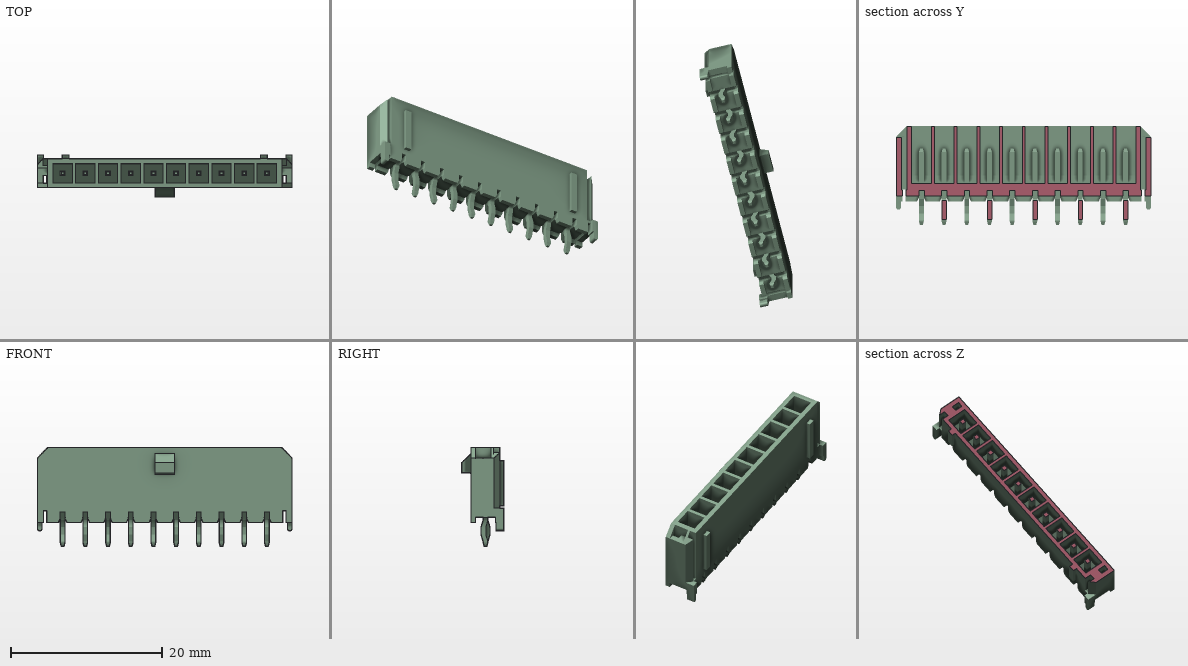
import cadquery as cq


LENGTH = 33.65
OVERALL_DEPTH = 5.57
OVERALL_HEIGHT = 13.08

PIN_COUNT = 10
PITCH = 3.0
DEPTH = 3.84
HEIGHT = 9.93
HALF_LENGTH = LENGTH / 2
FRONT = -DEPTH / 2
BACK = DEPTH / 2
REAR_PROJECTION = 0.505
REAR = BACK + REAR_PROJECTION

CAVITY_WIDTH = 2.55
CAVITY_DEPTH = 2.6
CAVITY_FLOOR = 2.4
LEDGE_DEPTH = 0.1
LEDGE_HEIGHT = 1.0
WALL = (DEPTH - CAVITY_DEPTH) / 2

CHANNEL_HEIGHT = 0.68
SLOT_HEIGHT = 1.4
SLOT_FLARE_HEIGHT = 0.5
SLOT_MOUTH = 1.1

END_LENGTH = 1.36
END_DROP = 1.4
TROUGH_BACK = 0.71
CORNER_X = 0.71
CORNER_Y = 0.8
KEYWAY_DEPTH = 0.89
WELL_INSET = 0.73
WELL_LENGTH = 0.97
RELIEF_INSET = 0.82
RELIEF_WIDTH = 0.40
RELIEF_HEIGHT = 1.54

TAB_WIDTH = RELIEF_INSET
TAB_TOP = 1.9
LEG_WIDTH = 0.61
LEG_DEPTH = 1.06
LEG_BOTTOM = -1.1

RIB_WIDTH = 0.9
RIB_CENTER = 13.1
RIB_BOTTOM = 2.2
RIB_TOP = 8.2

LATCH_WIDTH = 2.55
LATCH_PROJECTION = OVERALL_DEPTH - DEPTH - REAR_PROJECTION
LATCH_TOP = 9.1
LATCH_SHOULDER = 7.92
LATCH_BOTTOM = 6.57
LATCH_ROOT_DROP = 0.2
LATCH_ROOT_DEPTH = 0.08

PIN_SIZE = 0.64
PIN_TIP_SIZE = 0.36
PIN_TIP_LENGTH = 0.5
PIN_TOP = 7.0
TAIL_BOTTOM = HEIGHT - OVERALL_HEIGHT
TAIL_TIP_START = -2.65
TAIL_BOW = 0.28
BOW_START = 0.3
BOW_FLAT_TOP = -0.59
BOW_FLAT_BOTTOM = -1.6
BOW_END = -2.53

PIN_POSITIONS = [(i - (PIN_COUNT - 1) / 2) * PITCH for i in range(PIN_COUNT)]


def block(x0, x1, y0, y1, z0, z1):
    """Box given by its limits on each axis."""
    return cq.Workplane("XY").box(x1 - x0, y1 - y0, z1 - z0, centered=False).translate((x0, y0, z0))


def prism_along_y(points, y0, y1):
    """Extrude an (x, z) outline from y0 to y1."""
    return cq.Workplane("XZ", origin=(0, y0, 0)).polyline(points).close().extrude(y0 - y1)


def prism_along_x(points, x_center, width):
    """Extrude a (y, z) outline, centred on x_center."""
    start = (x_center - width / 2, 0, 0)
    return cq.Workplane("YZ", origin=start).polyline(points).close().extrude(width)


def both_ends(shape):
    """Return a left-end shape together with its mirror image at the right end."""
    return shape.union(shape.mirror("YZ"))


def housing_shell():
    """Long body with sloped upper ends and an open channel underneath."""
    shoulder = HALF_LENGTH - END_LENGTH
    outline = [
        (-HALF_LENGTH, 0),
        (HALF_LENGTH, 0),
        (HALF_LENGTH, HEIGHT - END_DROP),
        (shoulder, HEIGHT),
        (-shoulder, HEIGHT),
        (-HALF_LENGTH, HEIGHT - END_DROP),
    ]
    shell = prism_along_y(outline, FRONT, BACK)
    channel = block(-HALF_LENGTH, HALF_LENGTH, FRONT + WALL, BACK - WALL, 0, CHANNEL_HEIGHT)
    return shell.cut(channel)


def end_cuts():
    """Trough, rear keyway, corner chamfer and through well at the left end."""
    end = -HALF_LENGTH
    body_face = end + END_LENGTH
    trough = block(end, body_face, FRONT + WALL, TROUGH_BACK, HEIGHT - END_DROP, HEIGHT)
    keyway = block(end + CORNER_X, body_face, BACK - KEYWAY_DEPTH, BACK, TAB_TOP, HEIGHT)
    corner = (
        cq.Workplane("XY", origin=(0, 0, TAB_TOP))
        .polyline([(end, BACK), (end + CORNER_X, BACK), (end, BACK - CORNER_Y)])
        .close()
        .extrude(HEIGHT - TAB_TOP)
    )
    well_front = FRONT + WALL
    well = block(end + WELL_INSET, body_face, well_front, well_front + WELL_LENGTH, RELIEF_HEIGHT, HEIGHT)
    return trough.union(keyway).union(corner).union(well)


def end_relief():
    """Gap that frees the lower part of the left end wall from the body."""
    left = -HALF_LENGTH + RELIEF_INSET
    return block(left, left + RELIEF_WIDTH, FRONT, REAR, 0, RELIEF_HEIGHT)


def rear_tab():
    """Left rear tab and the round-ended leg below it."""
    left = -HALF_LENGTH
    tab = block(left, left + TAB_WIDTH, REAR - LEG_DEPTH, REAR, 0, TAB_TOP)
    round_start = LEG_BOTTOM + LEG_WIDTH / 2
    leg = (
        cq.Workplane("XZ", origin=(0, REAR, 0))
        .moveTo(left, 0)
        .lineTo(left, round_start)
        .threePointArc((left + LEG_WIDTH / 2, LEG_BOTTOM), (left + LEG_WIDTH, round_start))
        .lineTo(left + LEG_WIDTH, 0)
        .close()
        .extrude(LEG_DEPTH)
    )
    return tab.union(leg)


def rear_rib():
    """Vertical rib on the left part of the rear wall."""
    left = -RIB_CENTER - RIB_WIDTH / 2
    return block(left, left + RIB_WIDTH, BACK, REAR, RIB_BOTTOM, RIB_TOP)


def latch():
    """Ramp on the front wall with a small wedge under its root."""
    tip = FRONT - LATCH_PROJECTION
    outline = [
        (FRONT, LATCH_BOTTOM - LATCH_ROOT_DROP),
        (FRONT - LATCH_ROOT_DEPTH, LATCH_BOTTOM),
        (tip, LATCH_BOTTOM),
        (tip, LATCH_SHOULDER),
        (FRONT, LATCH_TOP),
    ]
    return prism_along_x(outline, 0, LATCH_WIDTH)


def cavity(x):
    """Rectangular contact cavity, less the ledge along its rear floor edge."""
    left = x - CAVITY_WIDTH / 2
    right = x + CAVITY_WIDTH / 2
    back = CAVITY_DEPTH / 2
    pocket = block(left, right, -back, back, CAVITY_FLOOR, HEIGHT)
    ledge = block(left, right, back - LEDGE_DEPTH, back, CAVITY_FLOOR, CAVITY_FLOOR + LEDGE_HEIGHT)
    return pocket.cut(ledge)


def pin_slot(x):
    """Slot through both long walls, flared at its mouth."""
    half = PIN_SIZE / 2
    outline = [
        (x - SLOT_MOUTH / 2, 0),
        (x - half, SLOT_FLARE_HEIGHT),
        (x - half, SLOT_HEIGHT),
        (x + half, SLOT_HEIGHT),
        (x + half, SLOT_FLARE_HEIGHT),
        (x + SLOT_MOUTH / 2, 0),
    ]
    return prism_along_y(outline, FRONT, BACK)


def pin_tip(x, z_base, z_end):
    """Tapered square end of a pin."""
    return (
        cq.Workplane("XY", origin=(x, 0, z_base))
        .rect(PIN_SIZE, PIN_SIZE)
        .workplane(offset=z_end - z_base)
        .rect(PIN_TIP_SIZE, PIN_TIP_SIZE)
        .loft(ruled=True)
    )


def pin(x, bow):
    """Square pin whose tail is offset by bow in Y to grip its board hole."""
    half = PIN_SIZE / 2
    shank_top = PIN_TOP - PIN_TIP_LENGTH
    centerline = [
        (0, shank_top),
        (0, BOW_START),
        (bow, BOW_FLAT_TOP),
        (bow, BOW_FLAT_BOTTOM),
        (0, BOW_END),
        (0, TAIL_TIP_START),
    ]
    front_edge = [(y - half, z) for y, z in centerline]
    back_edge = [(y + half, z) for y, z in reversed(centerline)]
    shank = prism_along_x(front_edge + back_edge, x, PIN_SIZE)
    upper_tip = pin_tip(x, shank_top, PIN_TOP)
    lower_tip = pin_tip(x, TAIL_TIP_START, TAIL_BOTTOM)
    return shank.union(upper_tip).union(lower_tip)


result = housing_shell().cut(both_ends(end_cuts()))
result = result.union(both_ends(rear_tab()))
result = result.cut(both_ends(end_relief()))
result = result.union(both_ends(rear_rib())).union(latch())

for position in PIN_POSITIONS:
    result = result.cut(cavity(position)).cut(pin_slot(position))

for index, position in enumerate(PIN_POSITIONS):
    bow_direction = 1 if index % 2 == 0 else -1
    result = result.union(pin(position, bow_direction * TAIL_BOW))